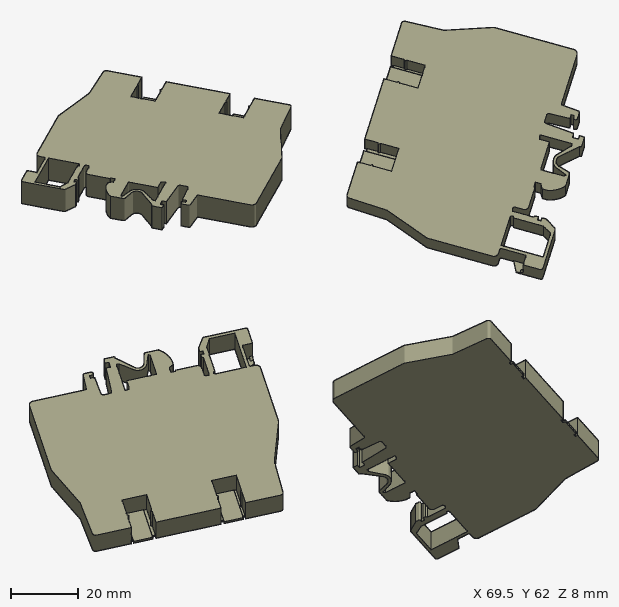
import cadquery as cq
import math


length = 69.5
depth = 62.0
thickness = 8.0

body_left = 0.1
body_bottom = 9.5
shelf_bottom = 13.9
shoulder_y = 35.45
waist_y = 49.35
waist_inset = 5.1
top_inset = 5.6
top_round = 1.0
side_round = 1.4
shoulder_round = 1.4
mid_x = (body_left + length) / 2

neck_left = 3.1
neck_right = 15.35
neck_round = 0.5
body_step_x = 16.8
step_round = 1.25
gap_round = 0.55
small_round = 0.3
foot_right = 15.85
foot_slope_x = 13.6
foot_slope_y = 3.4
foot_corner = 0.6
foot_slope_round = 0.6
catch_top = 7.2
catch_slope = 0.3
catch_x = 14.9
catch_low = 4.85
catch_high = 5.9
window_left = 4.1
window_right = 13.4
window_bottom = 1.0
window_slope_x = 11.9
window_slope_y = 3.7
relief_x = 13.4
relief_y = 13.35
relief_radius = 0.5

ledge_height = 0.75
ledge_front = 5.9
ledge_tip_y = 8.05
ledge_root_y = 9.7
gusset_size = 1.0

hook_left = 24.6
hook_notch_x = 26.05
hook_notch_top = 9.9
hook_notch_low = 8.2
hook_barb_y = 7.3
hook_face_y = 5.8
hook_bulge = (25.45, 3.4)
hook_bottom = 1.0
hook_toe_left = 27.45
hook_toe_right = 31.8
hook_toe_round = 0.6
arch_x = 34.6
arch_y = 4.1
arch_inner_radius = 1.8
arch_wall = 0.9
arch_outer_radius = arch_inner_radius + arch_wall
arch_left_angle = 165
arch_top_angle = 90
arch_right_angle = 45

leg_left = 40.5
leg_heel_y = 0.55
leg_heel_round = 0.35
leg_toe_x = 43.8
leg_toe_lip_x = 43.9
leg_catch_x = 42.75
leg_catch_low = 1.6
leg_catch_high = 3.4
leg_right = 44.05

hollow_left = 30.3
hollow_right = 40.8
hollow_root_left = 30.8
hollow_root_y = 1.9
hollow_root_round_y = 2.35
hollow_limb = (31.2, 2.8)
hollow_corner_x = 40.0
hollow_corner_y = 2.9
hollow_slit_left = 39.4
hollow_slit_top = 12.8
slit_round = 0.7

taper_top = 12.7
taper_top_left = 44.8
taper_top_right = 47.95
taper_round = 0.7
latch_left = 48.2
latch_bottom = 3.7
latch_bottom_left = 48.4
latch_bottom_right = 51.2
latch_root_right = 51.7
latch_root_round = 0.4
latch_tip_round = 0.5
latch_catch_x = 49.5
latch_catch_high = 5.85
latch_catch_low = 4.85
latch_catch_lip = 4.7

slot_width = 7.5
slot_offset = 13.7
slot_end_y = 51.5
slot_floor = 0.9
groove_floor = 0.7
groove_outer_width = 0.7
groove_inner_width = 1.0
groove_mouth = 0.75
rib_y = 57.55
rib_reach = 0.4


def prism(points, height=thickness):
    return cq.Workplane("XY").polyline(points).close().extrude(height)


def block(x_min, x_max, y_min, y_max, z_min, z_max):
    size = (x_max - x_min, y_max - y_min, z_max - z_min)
    return cq.Workplane("XY").box(*size, centered=False).translate((x_min, y_min, z_min))


def round_corner(solid, x, y, radius):
    """Fillet the upright edge that stands at (x, y)."""
    reach = 0.1
    near = cq.selectors.BoxSelector((x - reach, y - reach, -reach),
                                    (x + reach, y + reach, thickness + reach))
    return solid.edges("|Z").edges(near).fillet(radius)


def arch_point(radius, angle):
    turn = math.radians(angle)
    return (arch_x + radius * math.cos(turn), arch_y + radius * math.sin(turn))


def make_body():
    body = prism([
        (body_left, shelf_bottom),
        (body_left, shoulder_y),
        (body_left + waist_inset, waist_y),
        (body_left + top_inset, depth),
        (length - top_inset, depth),
        (length - waist_inset, waist_y),
        (length, shoulder_y),
        (length, body_bottom),
        (body_step_x, body_bottom),
        (body_step_x, shelf_bottom),
    ])
    body = round_corner(body, body_left, shelf_bottom, side_round)
    body = round_corner(body, length, body_bottom, side_round)
    body = round_corner(body, body_step_x, body_bottom, step_round)
    for x in (body_left, length):
        body = round_corner(body, x, shoulder_y, shoulder_round)
    for x in (body_left + top_inset, length - top_inset):
        body = round_corner(body, x, depth, top_round)
    return body


def make_foot():
    foot = prism([
        (0, 0),
        (foot_slope_x, 0),
        (foot_right, foot_slope_y),
        (foot_right, catch_low),
        (catch_x, catch_low),
        (catch_x, catch_high),
        (foot_right, catch_high),
        (foot_right, catch_top - catch_slope),
        (neck_right, catch_top),
        (neck_right, shelf_bottom),
        (neck_left, shelf_bottom),
        (neck_left, ledge_front),
        (0, ledge_front),
    ])
    foot = round_corner(foot, 0, 0, foot_corner)
    foot = round_corner(foot, foot_slope_x, 0, foot_slope_round)
    foot = round_corner(foot, foot_right, catch_low, small_round)
    ledge = prism([
        (0, ledge_front),
        (neck_left, ledge_front),
        (neck_left, ledge_root_y),
        (0, ledge_tip_y),
    ], ledge_height)
    gusset = (
        cq.Workplane("YZ")
        .moveTo(ledge_front, ledge_height)
        .lineTo(ledge_front + gusset_size, ledge_height)
        .lineTo(ledge_front, ledge_height + gusset_size)
        .close()
        .extrude(gusset_size)
    )
    return foot.union(ledge).union(gusset)


def make_window():
    window = prism([
        (window_left, window_bottom),
        (window_slope_x, window_bottom),
        (window_right, window_slope_y),
        (window_right, shelf_bottom),
        (window_left, shelf_bottom),
    ])
    relief = cq.Workplane("XY").center(relief_x, relief_y).circle(relief_radius).extrude(thickness)
    return window.union(relief)


def make_hook_and_leg():
    """Hook, arched spring and leg as one solid that reaches up into the body."""
    solid = (
        cq.Workplane("XY")
        .moveTo(hook_notch_x, taper_top)
        .lineTo(hook_notch_x, hook_notch_low)
        .lineTo(hook_left, hook_barb_y)
        .lineTo(hook_left, hook_face_y)
        .threePointArc(hook_bulge, (hook_toe_left, hook_bottom))
        .lineTo(hook_toe_right, hook_bottom)
        .lineTo(*arch_point(arch_inner_radius, arch_left_angle))
        .threePointArc(arch_point(arch_inner_radius, arch_top_angle),
                       arch_point(arch_inner_radius, arch_right_angle))
        .lineTo(leg_left, leg_heel_y)
        .lineTo(leg_left, 0)
        .lineTo(leg_toe_x, 0)
        .lineTo(leg_toe_lip_x, leg_catch_low)
        .lineTo(leg_catch_x, leg_catch_low)
        .lineTo(leg_catch_x, leg_catch_high)
        .lineTo(leg_right, leg_catch_high)
        .lineTo(taper_top_left, taper_top)
        .close()
        .extrude(thickness)
    )
    solid = round_corner(solid, hook_toe_right, hook_bottom, hook_toe_round)
    return round_corner(solid, leg_left, 0, leg_heel_round)


def make_hollow():
    """Opening between the spring and the body, with its slit beside the leg."""
    hollow = (
        cq.Workplane("XY")
        .moveTo(hollow_left, body_bottom)
        .lineTo(hollow_left, hollow_root_round_y)
        .lineTo(hollow_root_left, hollow_root_y)
        .lineTo(*hollow_limb)
        .lineTo(*arch_point(arch_outer_radius, arch_left_angle))
        .threePointArc(arch_point(arch_outer_radius, arch_top_angle),
                       arch_point(arch_outer_radius, arch_right_angle))
        .lineTo(hollow_corner_x, hollow_corner_y)
        .lineTo(hollow_right, hollow_corner_y)
        .lineTo(hollow_right, hollow_slit_top)
        .lineTo(hollow_slit_left, hollow_slit_top)
        .lineTo(hollow_slit_left, body_bottom)
        .close()
        .extrude(thickness)
    )
    hollow = round_corner(hollow, hollow_left, body_bottom, small_round)
    return round_corner(hollow, hollow_slit_left, hollow_slit_top, slit_round)


def make_latch():
    latch = prism([
        (taper_top_right, taper_top),
        (latch_left, latch_catch_high),
        (latch_catch_x, latch_catch_high),
        (latch_catch_x, latch_catch_low),
        (latch_left, latch_catch_lip),
        (latch_bottom_left, latch_bottom),
        (latch_bottom_right, latch_bottom),
        (latch_root_right, body_bottom),
        (latch_root_right, taper_top),
    ])
    for x in (latch_bottom_left, latch_bottom_right):
        latch = round_corner(latch, x, latch_bottom, latch_tip_round)
    return latch


def make_tapered_gap():
    gap = prism([
        (leg_right, leg_catch_high),
        (taper_top_left, taper_top),
        (taper_top_right, taper_top),
        (latch_left, latch_catch_high),
        (latch_left, leg_catch_high),
    ])
    for x in (taper_top_left, taper_top_right):
        gap = round_corner(gap, x, taper_top, taper_round)
    return gap


def cut_marker_slot(solid, side):
    """Slot on one side of the middle (-1 or +1): thin floor, edge grooves and two ribs."""
    centre = mid_x + side * slot_offset
    walls = ((side, groove_outer_width), (-side, groove_inner_width))
    x_min = centre - slot_width / 2
    x_max = centre + slot_width / 2
    solid = solid.cut(block(x_min, x_max, slot_end_y, depth, slot_floor, thickness))

    for direction, groove_width in walls:
        wall_x = centre + direction * slot_width / 2
        groove_x = wall_x - direction * groove_width
        low_x, high_x = sorted((wall_x, groove_x))
        solid = solid.cut(block(low_x, high_x, slot_end_y, depth, groove_floor, thickness))
        solid = solid.cut(block(low_x, high_x, depth - groove_mouth, depth, 0, thickness))

        rib = prism([
            (wall_x, rib_y + rib_reach),
            (wall_x - direction * rib_reach, rib_y),
            (wall_x, rib_y - rib_reach),
        ])
        solid = solid.union(rib)
    return solid


housing = make_body().union(make_foot()).cut(make_window())
hook_notch = block(hook_left, hook_notch_x, body_bottom, hook_notch_top, 0, thickness)
housing = housing.cut(hook_notch).union(make_hook_and_leg()).cut(make_hollow())
housing = housing.cut(make_tapered_gap()).union(make_latch())
housing = round_corner(housing, neck_left, shelf_bottom, neck_round)
for gap_side in (neck_right, body_step_x):
    housing = round_corner(housing, gap_side, shelf_bottom, gap_round)
housing = round_corner(housing, latch_root_right, body_bottom, latch_root_round)
for marker_side in (-1, 1):
    housing = cut_marker_slot(housing, marker_side)

result = housing